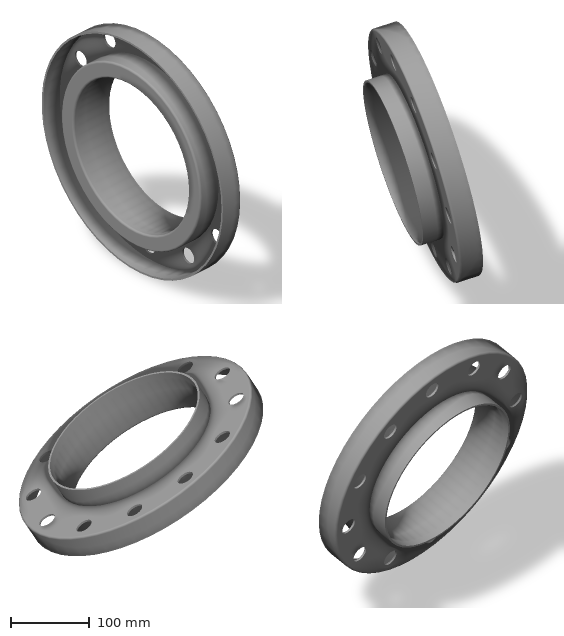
import cadquery as cq

flange_dia = 340.0
face_dia = 261.0
hub_dia = 221.0
bore_dia = 215.5
total_length = 62.0
hub_length = 28.0
rim_setback = 2.7
wall = 2.7
edge_radius = 2.7

bolt_count = 12
bolt_circle_dia = 295.0
bolt_hole_dia = 22.0

flange_back = total_length - hub_length
floor_front = flange_back - wall


def cylinder(diameter, start, end):
    """Solid cylinder along +Y between two Y positions."""
    base = cq.Workplane("XZ", origin=(0, start, 0))
    return base.circle(diameter / 2).extrude(start - end)


def make_pan():
    """Flange dished from the front, with a rounded outer back edge."""
    disc = cylinder(flange_dia, rim_setback, flange_back)
    disc = disc.faces(">Y").edges().fillet(edge_radius)
    recess = cylinder(flange_dia - 2 * wall, rim_setback, floor_front)
    return disc.cut(recess)


def make_core():
    """Raised face and rear hub with a through bore, rounded at the front."""
    face = cylinder(face_dia, 0, flange_back)
    hub = cylinder(hub_dia, flange_back, total_length)
    core = face.union(hub).cut(cylinder(bore_dia, 0, total_length))
    return core.faces("<Y").edges().fillet(edge_radius)


def make_bolt_holes():
    """Cutters for the evenly spaced bolt circle."""
    return (
        cq.Workplane("XZ")
        .polarArray(bolt_circle_dia / 2, 0, 360, bolt_count)
        .circle(bolt_hole_dia / 2)
        .extrude(-total_length)
    )


bore = cylinder(bore_dia, 0, total_length)
pan = make_pan().cut(bore)
result = pan.union(make_core()).cut(make_bolt_holes())